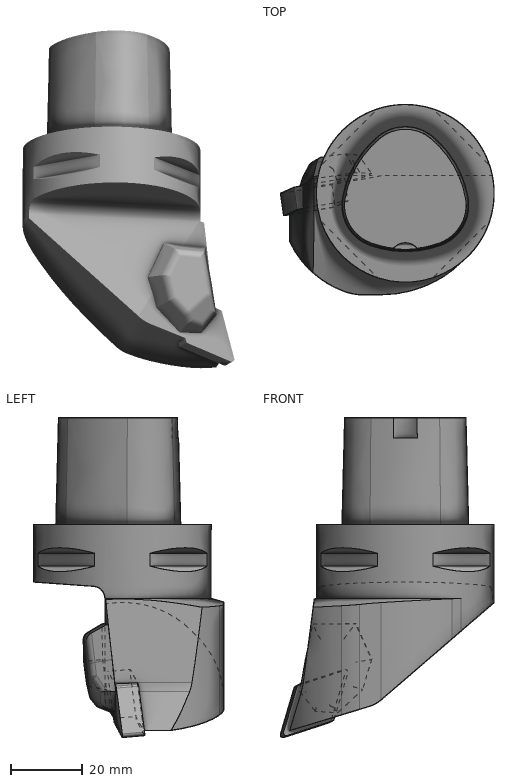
import cadquery as cq
import math


SHANK_LENGTH = 30.0
SHANK_TAPER = 1 / 40
LOBE_OFFSET = 6.7
LOBE_TOP_RADIUS = 11.3
LOBE_HALF_ANGLE = 40.0
LOBE_DIRECTIONS = (90, 210, 330)
LOBE_SPACING = 120

KEYWAY_RADIUS = 4.2
KEYWAY_BOTTOM_Y = -13.9
KEYWAY_DEPTH = 5.7

FLANGE_RADIUS = 25.0
FLANGE_HEIGHT = 20.85
GROOVE_CENTRE_Z = -9.95
GROOVE_FLOOR_RADIUS = 22.3
GROOVE_FLOOR_WIDTH = 3.6
GROOVE_FLANK_ANGLE = 30.0
GROOVE_DIRECTIONS = (45, 135, 225, 315)

TOP_CONE_ANGLE = 15.0
HEAD_TOP_LEFT = (-25.6, -FLANGE_HEIGHT)
HEAD_SIDE_BEND = (-28.85, -45.8)
HEAD_NOSE = (-32.5, -58.0)
HEAD_HEEL = (-8.3, -50.7)
HEAD_RIGHT_Z = -22.0
SIDE_BEND_RADIUS = 16.0
HEEL_RADIUS = 10.0

HEAD_FRONT_Y = -28.57
SIDE_ARC_START = (-32.7, -13.2)
SIDE_ARC_MIDDLE = (-28.4, -19.9)
SIDE_ARC_END = (-18.0, -27.3)
CORNER_ARC_MIDDLE = (-15.5, -28.15)
FLAT_START = (-12.9, HEAD_FRONT_Y)
FLAT_END = (-6.9, HEAD_FRONT_Y)
BACK_ARC_MIDDLE = (4.0, -26.7)
BACK_ARC_END = (13.2, -21.7)
FLANGE_JOIN_X = 15.6

RELIEF_WALL_Y = 4.95
RELIEF_ROOF_Z = -17.7
RELIEF_ROOF_ANGLE = 4.1
RELIEF_RADIUS = 3.4

INSERT_CIRCLE = 12.7
INSERT_ANGLE = 55.0
INSERT_THICKNESS = 6.35
INSERT_NOSE_RADIUS = 0.8
INSERT_MIN_X = -35.15
INSERT_MIN_Z = -60.0
INSERT_NOSE_Y = 0.1
EDGE_RISE_ANGLE = 18.0
RAKE_SLOPE_X = 0.144
RAKE_SLOPE_Z = 0.088

CLAMP_FOOT = [
    (-26.0, -28.0),
    (-28.1, -38.0),
    (-29.7, -47.0),
    (-25.3, -52.6),
    (-19.0, -53.0),
    (-12.0, -46.5),
    (-9.5, -38.0),
    (-14.0, -28.0),
]
CLAMP_HEIGHT = 6.1
CLAMP_DRAFT = 25.0
CLAMP_ROOT_DEPTH = 2.0
CLAMP_EDGE_RADIUS = 2.5
CLAMP_SLOPE_START = 18.5
CLAMP_SLOPE_ANGLE = 26.0

REACH = 60.0

rake_length = math.sqrt(1 + RAKE_SLOPE_X**2 + RAKE_SLOPE_Z**2)
rake_inward = cq.Vector(RAKE_SLOPE_X, -1, RAKE_SLOPE_Z) / rake_length
edge_x = math.cos(math.radians(EDGE_RISE_ANGLE))
edge_z = math.sin(math.radians(EDGE_RISE_ANGLE))
edge_direction = cq.Vector(edge_x, RAKE_SLOPE_X * edge_x + RAKE_SLOPE_Z * edge_z, edge_z)
nose_centre = cq.Vector(
    INSERT_MIN_X + INSERT_NOSE_RADIUS * math.sqrt(1 - rake_inward.x**2),
    INSERT_NOSE_Y,
    INSERT_MIN_Z + INSERT_NOSE_RADIUS * math.sqrt(1 - rake_inward.z**2),
)
rake_plane = cq.Plane(origin=nose_centre, xDir=edge_direction, normal=rake_inward)


def polar(distance, degrees):
    angle = math.radians(degrees)
    return cq.Vector(distance * math.cos(angle), distance * math.sin(angle))


def shank_wire(lobe_radius, z):
    """Rounded triangle of three lobe arcs and three tangent flatter arcs."""
    half = math.radians(LOBE_HALF_ANGLE)
    half_spacing = math.radians(LOBE_SPACING / 2)
    centre_gap = LOBE_OFFSET / (math.cos(half) - math.sin(half) / math.tan(half_spacing))
    flat_offset = centre_gap * math.sin(half) / math.sin(half_spacing)
    flat_distance = centre_gap + lobe_radius - flat_offset

    def seam(lobe, side):
        return polar(LOBE_OFFSET, lobe) + polar(lobe_radius, lobe + side * LOBE_HALF_ANGLE)

    start = seam(LOBE_DIRECTIONS[0], -1)
    outline = cq.Workplane("XY", origin=(0, 0, z)).moveTo(start.x, start.y)
    for lobe in LOBE_DIRECTIONS:
        points = [
            polar(LOBE_OFFSET + lobe_radius, lobe),
            seam(lobe, 1),
            polar(flat_distance, lobe + LOBE_SPACING / 2),
            seam(lobe + LOBE_SPACING, -1),
        ]
        lobe_mid, lobe_end, flat_mid, flat_end = [point.toTuple()[:2] for point in points]
        outline = outline.threePointArc(lobe_mid, lobe_end).threePointArc(flat_mid, flat_end)
    return outline.close().wire().val()


def make_shank():
    base_radius = LOBE_TOP_RADIUS + SHANK_LENGTH * SHANK_TAPER
    wires = [shank_wire(base_radius, 0), shank_wire(LOBE_TOP_RADIUS, SHANK_LENGTH)]
    shank = cq.Workplane(cq.Solid.makeLoft(wires, True))
    keyway = (
        cq.Workplane("XY", origin=(0, KEYWAY_BOTTOM_Y - KEYWAY_RADIUS, SHANK_LENGTH))
        .circle(KEYWAY_RADIUS)
        .extrude(-KEYWAY_DEPTH)
    )
    return shank.cut(keyway)


def make_flange():
    flange = cq.Workplane("XY").circle(FLANGE_RADIUS).extrude(-FLANGE_HEIGHT)
    depth = FLANGE_RADIUS - GROOVE_FLOOR_RADIUS
    floor_half = GROOVE_FLOOR_WIDTH / 2
    mouth_half = floor_half + depth * math.tan(math.radians(GROOVE_FLANK_ANGLE))
    groove = (
        cq.Workplane("XZ", origin=(0, 0, GROOVE_CENTRE_Z))
        .polyline([
            (GROOVE_FLOOR_RADIUS, -floor_half),
            (FLANGE_RADIUS, -mouth_half),
            (FLANGE_RADIUS, mouth_half),
            (GROOVE_FLOOR_RADIUS, floor_half),
        ])
        .close()
        .extrude(FLANGE_RADIUS, both=True)
    )
    for direction in GROOVE_DIRECTIONS:
        flange = flange.cut(groove.rotate((0, 0, 0), (0, 0, 1), direction))
    return flange


def head_side_profile():
    """Head silhouette in XZ, with its side bend and heel rounded, as a prism along Y."""
    prism = (
        cq.Workplane("XZ")
        .polyline([
            HEAD_TOP_LEFT,
            HEAD_SIDE_BEND,
            HEAD_NOSE,
            HEAD_HEEL,
            (FLANGE_RADIUS, HEAD_RIGHT_Z),
            (FLANGE_RADIUS, -FLANGE_HEIGHT),
        ])
        .close()
        .extrude(REACH, both=True)
    )
    for (x, z), radius in ((HEAD_SIDE_BEND, SIDE_BEND_RADIUS), (HEAD_HEEL, HEEL_RADIUS)):
        prism = prism.edges(cq.NearestToPointSelector((x, 0, z))).fillet(radius)
    return prism


def head_plan_profile():
    """Head outline in XY, as a prism along Z."""
    join_y = -math.sqrt(FLANGE_RADIUS**2 - FLANGE_JOIN_X**2)
    return (
        cq.Workplane("XY")
        .moveTo(SIDE_ARC_START[0], FLANGE_RADIUS)
        .lineTo(*SIDE_ARC_START)
        .threePointArc(SIDE_ARC_MIDDLE, SIDE_ARC_END)
        .threePointArc(CORNER_ARC_MIDDLE, FLAT_START)
        .lineTo(*FLAT_END)
        .threePointArc(BACK_ARC_MIDDLE, BACK_ARC_END)
        .lineTo(FLANGE_JOIN_X, join_y)
        .threePointArc((FLANGE_RADIUS, 0), (0, FLANGE_RADIUS))
        .close()
        .extrude(-2 * REACH)
    )


def head_top_cone():
    """Everything below a flat disc that turns into a shallow cone outside the flange."""
    cone_drop = (REACH - FLANGE_RADIUS) * math.tan(math.radians(TOP_CONE_ANGLE))
    return (
        cq.Workplane("XZ")
        .polyline([
            (0, -FLANGE_HEIGHT),
            (FLANGE_RADIUS, -FLANGE_HEIGHT),
            (REACH, -FLANGE_HEIGHT - cone_drop),
            (REACH, -2 * REACH),
            (0, -2 * REACH),
        ])
        .close()
        .revolve(360, (0, 0, 0), (0, 1, 0))
    )


def relief_cutter():
    """Space behind the head, under the flange."""
    roof_rise = REACH * math.tan(math.radians(RELIEF_ROOF_ANGLE))
    return (
        cq.Workplane("YZ")
        .polyline([
            (RELIEF_WALL_Y, RELIEF_ROOF_Z),
            (RELIEF_WALL_Y, -2 * REACH),
            (RELIEF_WALL_Y + REACH, -2 * REACH),
            (RELIEF_WALL_Y + REACH, RELIEF_ROOF_Z + roof_rise),
        ])
        .close()
        .extrude(REACH, both=True)
        .edges(cq.NearestToPointSelector((0, RELIEF_WALL_Y, RELIEF_ROOF_Z)))
        .fillet(RELIEF_RADIUS)
    )


def rake_cutter():
    """Space above the rake face, kept under the flange."""
    above_rake = cq.Workplane(rake_plane).rect(4 * REACH, 4 * REACH).extrude(-REACH)
    flange_base = cq.Workplane("XY", origin=(0, 0, -FLANGE_HEIGHT))
    below_flange = flange_base.rect(4 * REACH, 4 * REACH).extrude(-REACH)
    return above_rake.intersect(below_flange)


def clamp_slope_cutter():
    """Space above the clamp's slope, which drops towards the insert nose."""
    diagonal = rake_plane.rotated((0, 0, INSERT_ANGLE / 2)).xDir
    outward = rake_inward * -1
    side_plane = cq.Plane(origin=nose_centre, xDir=diagonal, normal=diagonal.cross(outward))
    drop = CLAMP_SLOPE_START * math.tan(math.radians(CLAMP_SLOPE_ANGLE))
    return (
        cq.Workplane(side_plane)
        .polyline([
            (0, CLAMP_HEIGHT - drop),
            (CLAMP_SLOPE_START, CLAMP_HEIGHT),
            (CLAMP_SLOPE_START, REACH),
            (0, REACH),
        ])
        .close()
        .extrude(REACH, both=True)
    )


def make_clamp():
    """Drafted, rounded clamp standing on the rake face."""
    foot = []
    for x, z in CLAMP_FOOT:
        rake_y = nose_centre.y + RAKE_SLOPE_X * (x - nose_centre.x) + RAKE_SLOPE_Z * (z - nose_centre.z)
        local = rake_plane.toLocalCoords(cq.Vector(x, rake_y, z))
        foot.append((local.x, local.y))
    block = cq.Workplane(rake_plane).polyline(foot).close().extrude(-CLAMP_HEIGHT, taper=CLAMP_DRAFT)
    clamp = block.cut(clamp_slope_cutter())
    steepest = math.cos(math.radians((CLAMP_SLOPE_ANGLE + 90 - CLAMP_DRAFT) / 2))
    top_faces = [face for face in clamp.faces().vals() if face.normalAt().dot(rake_inward) < -steepest]
    rim_edges = {edge for face in top_faces for edge in face.Edges()}
    rounded = clamp.newObject(list(rim_edges)).fillet(CLAMP_EDGE_RADIUS)
    root = cq.Workplane(rake_plane).polyline(foot).close().extrude(CLAMP_ROOT_DEPTH)
    return rounded.union(root.intersect(head_side_profile()))


def make_insert():
    side = INSERT_CIRCLE / math.sin(math.radians(INSERT_ANGLE))
    lean = side * math.cos(math.radians(INSERT_ANGLE))
    tip_x = -INSERT_NOSE_RADIUS / math.tan(math.radians(INSERT_ANGLE / 2))
    tip_y = -INSERT_NOSE_RADIUS
    return (
        cq.Workplane(rake_plane)
        .polyline([
            (tip_x, tip_y),
            (tip_x + side, tip_y),
            (tip_x + side + lean, tip_y + INSERT_CIRCLE),
            (tip_x + lean, tip_y + INSERT_CIRCLE),
        ])
        .close()
        .extrude(INSERT_THICKNESS)
        .edges(cq.ParallelDirSelector(rake_inward))
        .fillet(INSERT_NOSE_RADIUS)
    )


insert = make_insert()

head = head_side_profile().intersect(head_plan_profile()).intersect(head_top_cone()).cut(rake_cutter())
holder = make_flange().union(head).cut(relief_cutter())
holder = holder.union(make_shank()).union(make_clamp()).cut(insert)

result = cq.Compound.makeCompound([*holder.solids().vals(), insert.val()])